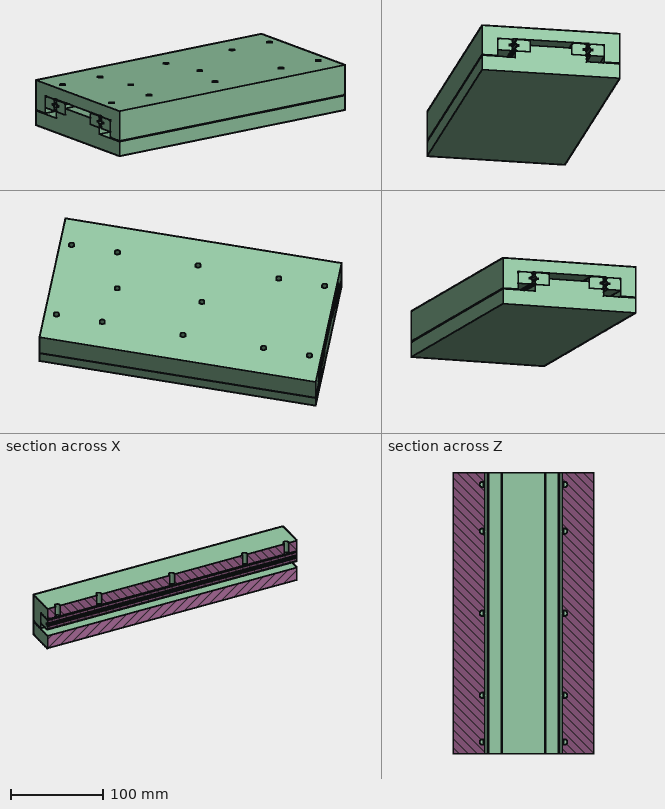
import cadquery as cq

LENGTH = 304.8
WIDTH = 152.5
HEIGHT = 51.0

RAIL_WIDTH = 16.5
RAIL_HEIGHT = 13.0
RAIL_CHAMFER = 1.5
RAIL_BOTTOM = 23.8
RAIL_TOP = RAIL_BOTTOM + RAIL_HEIGHT
INNER_RAIL_INSIDE = 23.0
OUTER_RAIL_OUTSIDE = 58.8
INNER_RAIL_FACE = INNER_RAIL_INSIDE + RAIL_WIDTH
OUTER_RAIL_FACE = OUTER_RAIL_OUTSIDE - RAIL_WIDTH

GROOVE_HALF_HEIGHT = 2.5
RELIEF_HALF_HEIGHT = 0.5
GROOVE_DEPTH = GROOVE_HALF_HEIGHT - RELIEF_HALF_HEIGHT
RELIEF_DEPTH = 3.7

BASE_SHOULDER = 16.5
BASE_TOP = 31.0

RUNNING_GAP = 1.0
CARRIAGE_BOTTOM = BASE_SHOULDER + RUNNING_GAP
CARRIAGE_CEILING = 37.5
CEILING_HALF_WIDTH = 41.8

MOUNT_HOLE_DIAMETER = 5.8
MOUNT_HOLE_X = 44.5
MOUNT_HOLE_ROWS = (-139.5, -89.0, 0.0, 89.0, 139.5)
CENTER_HOLE_DIAMETER = 5.5
CENTER_HOLE_ROWS = (-80.8, 12.5)


def extrude_along_length(profile):
    """Extrude an XZ outline over the full length, centred on Y = 0."""
    return profile.extrude(LENGTH / 2, both=True)


def mirrored_profile(right_half):
    """Close an XZ outline made of a right half and its mirror image about X = 0."""
    left_half = [(-x, z) for x, z in reversed(right_half)]
    return cq.Workplane("XZ").polyline(right_half + left_half).close()


def make_base():
    """Base with low shoulders, two seats for the inner rails and a raised centre."""
    right_half = [
        (WIDTH / 2, 0),
        (WIDTH / 2, BASE_SHOULDER),
        (INNER_RAIL_FACE, BASE_SHOULDER),
        (INNER_RAIL_FACE, RAIL_BOTTOM),
        (INNER_RAIL_INSIDE, RAIL_BOTTOM),
        (INNER_RAIL_INSIDE, BASE_TOP),
    ]
    return extrude_along_length(mirrored_profile(right_half))


def make_carriage():
    """Channel-shaped carriage that seats the outer rails, with its vertical holes."""
    right_half = [
        (WIDTH / 2, HEIGHT),
        (WIDTH / 2, CARRIAGE_BOTTOM),
        (OUTER_RAIL_OUTSIDE, CARRIAGE_BOTTOM),
        (OUTER_RAIL_OUTSIDE, RAIL_TOP),
        (CEILING_HALF_WIDTH, RAIL_TOP),
        (CEILING_HALF_WIDTH, CARRIAGE_CEILING),
    ]
    carriage = extrude_along_length(mirrored_profile(right_half))
    mount_points = [(side * MOUNT_HOLE_X, y) for side in (-1, 1) for y in MOUNT_HOLE_ROWS]
    center_points = [(0, y) for y in CENTER_HOLE_ROWS]
    for points, diameter in (
        (mount_points, MOUNT_HOLE_DIAMETER),
        (center_points, CENTER_HOLE_DIAMETER),
    ):
        plate_top = cq.Workplane("XY").workplane(offset=HEIGHT)
        holes = plate_top.pushPoints(points).circle(diameter / 2).extrude(RAIL_TOP - HEIGHT)
        carriage = carriage.cut(holes)
    return carriage


def make_rail(face_x, direction):
    """Rail whose grooved face lies at face_x and looks toward direction (+1 or -1) in X."""
    rail_center = (face_x - direction * RAIL_WIDTH / 2, RAIL_BOTTOM + RAIL_HEIGHT / 2)
    blank = cq.Workplane("XZ").center(*rail_center).rect(RAIL_WIDTH, RAIL_HEIGHT)
    rail = extrude_along_length(blank)
    grooved_face = ">X" if direction > 0 else "<X"
    rail = rail.edges(f"|Y and (>Z or {grooved_face})").chamfer(RAIL_CHAMFER)

    groove_root_x = face_x - direction * GROOVE_DEPTH
    relief_floor_x = face_x - direction * RELIEF_DEPTH
    groove_points = [
        (face_x, GROOVE_HALF_HEIGHT),
        (groove_root_x, RELIEF_HALF_HEIGHT),
        (relief_floor_x, RELIEF_HALF_HEIGHT),
        (relief_floor_x, -RELIEF_HALF_HEIGHT),
        (groove_root_x, -RELIEF_HALF_HEIGHT),
        (face_x, -GROOVE_HALF_HEIGHT),
    ]
    groove_plane = cq.Workplane("XZ", origin=(0, 0, rail_center[1]))
    groove = extrude_along_length(groove_plane.polyline(groove_points).close())
    return rail.cut(groove)


base = make_base()
carriage = make_carriage()

rails = []
for side in (-1, 1):
    inner_rail = make_rail(side * INNER_RAIL_FACE, side)
    outer_rail = make_rail(side * OUTER_RAIL_FACE, -side)
    rails += [inner_rail.val(), outer_rail.val()]

result = cq.Compound.makeCompound([base.val(), carriage.val(), *rails])